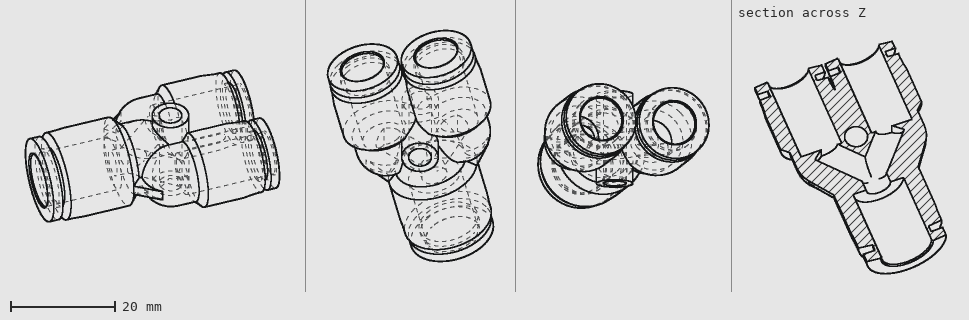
import cadquery as cq
import math

overall_length = 44.45
overall_width = 29.2
overall_height = 17.5

large_port = dict(
    collar_edge=0.25,
    collar_back=2.15,
    body_inner_edge=3.35,
    body_start=3.65,
    taper_start=4.85,
    taper_end=7.35,
    shoulder_start=16.4,
    shoulder_end=18.15,
    dome_center=21.1,
    socket_depth=15.1,
    mouth_radius=5.42,
    bore_radius=5.15,
    collar_radius=8.22,
    groove_radius=5.82,
    rim_radius=8.62,
    body_radius=overall_height / 2,
    dome_radius=6.95,
)

small_port = dict(
    collar_edge=0.25,
    collar_back=2.0,
    body_inner_edge=3.1,
    body_start=3.25,
    taper_start=4.4,
    taper_end=7.0,
    shoulder_start=14.95,
    shoulder_end=16.3,
    dome_center=19.95,
    socket_depth=17.8,
    mouth_radius=4.35,
    bore_radius=4.15,
    collar_radius=6.95,
    groove_radius=4.9,
    rim_radius=7.05,
    body_radius=7.35,
    dome_radius=5.9,
)

mouth_chamfer_depth = 0.25
passage_radius = 2.5
passage_fork_y = 18.22

boss_y = 26.95
boss_radius = 3.5
boss_hole_radius = 2.2

rib_thickness = 2.15

small_port_x = overall_width / 2 - small_port["body_radius"]
small_dome_y = overall_length - small_port["dome_center"]

seam_angle = -90

sides = (-1, 1)


def place_small(shape, side):
    """Turn a shape whose mouth faces -Y to face +Y and move it to one side of the fitting."""
    return shape.rotate((0, 0, 0), (0, 0, 1), 180).translate((side * small_port_x, overall_length, 0))


def boss_cylinder(radius):
    """Full-height cylinder on the axis of the mounting boss."""
    return cq.Workplane("XY").center(0, boss_y).circle(radius).extrude(overall_height / 2, both=True)


def port_body(p):
    """Solid port revolved about Y, mouth at the origin, closed by a spherical dome."""
    diagonal = p["dome_radius"] * math.sqrt(0.5)
    return (
        cq.Workplane("XY")
        .moveTo(0, 0)
        .lineTo(p["mouth_radius"], 0)
        .lineTo(p["collar_radius"], p["collar_edge"])
        .lineTo(p["collar_radius"], p["collar_back"])
        .lineTo(p["groove_radius"], p["collar_back"])
        .lineTo(p["groove_radius"], p["body_inner_edge"])
        .lineTo(p["rim_radius"], p["body_start"])
        .lineTo(p["rim_radius"], p["taper_start"])
        .lineTo(p["body_radius"], p["taper_end"])
        .lineTo(p["body_radius"], p["shoulder_start"])
        .lineTo(p["dome_radius"], p["shoulder_end"])
        .lineTo(p["dome_radius"], p["dome_center"])
        .threePointArc(
            (diagonal, p["dome_center"] + diagonal),
            (0, p["dome_center"] + p["dome_radius"]),
        )
        .close()
        .revolve(360, (0, 0, 0), (0, 1, 0))
        .rotate((0, 0, 0), (0, 1, 0), seam_angle)
    )


def port_socket(p):
    """Blind tube socket with a chamfered mouth, revolved about Y."""
    return (
        cq.Workplane("XY")
        .moveTo(0, 0)
        .lineTo(p["mouth_radius"], 0)
        .lineTo(p["bore_radius"], mouth_chamfer_depth)
        .lineTo(p["bore_radius"], p["socket_depth"])
        .lineTo(0, p["socket_depth"])
        .close()
        .revolve(360, (0, 0, 0), (0, 1, 0))
    )


def rib_plate():
    """Flat web whose edges run from the large shoulder, tangent to the small domes."""
    corner_x = large_port["body_radius"]
    corner_y = large_port["shoulder_start"]
    to_dome_x = small_port_x - corner_x
    to_dome_y = small_dome_y - corner_y
    distance = math.hypot(to_dome_x, to_dome_y)
    swing = math.asin(small_port["dome_radius"] / distance)
    edge_angle = math.atan2(to_dome_y, to_dome_x) - swing
    edge_length = distance * math.cos(swing)
    tangent_x = corner_x + edge_length * math.cos(edge_angle)
    tangent_y = corner_y + edge_length * math.sin(edge_angle)
    return (
        cq.Workplane("XY")
        .polyline([
            (-corner_x, corner_y),
            (corner_x, corner_y),
            (tangent_x, tangent_y),
            (-tangent_x, tangent_y),
        ])
        .close()
        .extrude(rib_thickness / 2, both=True)
    )


def straight_passage(start, end):
    """Round flow passage between two points."""
    path = cq.Vector(*end) - cq.Vector(*start)
    return cq.Workplane(
        cq.Solid.makeCylinder(passage_radius, path.Length, cq.Vector(*start), path)
    )


outer = boss_cylinder(boss_radius).union(port_body(large_port))
for side in sides:
    outer = outer.union(place_small(port_body(small_port), side))
outer = outer.union(rib_plate())

fork = (0, passage_fork_y, 0)
cavity = port_socket(large_port).union(straight_passage((0, 0, 0), fork))
for side in sides:
    socket_floor = (side * small_port_x, overall_length - small_port["socket_depth"], 0)
    cavity = cavity.union(place_small(port_socket(small_port), side))
    cavity = cavity.union(straight_passage(fork, socket_floor))

result = outer.cut(cavity).cut(boss_cylinder(boss_hole_radius))